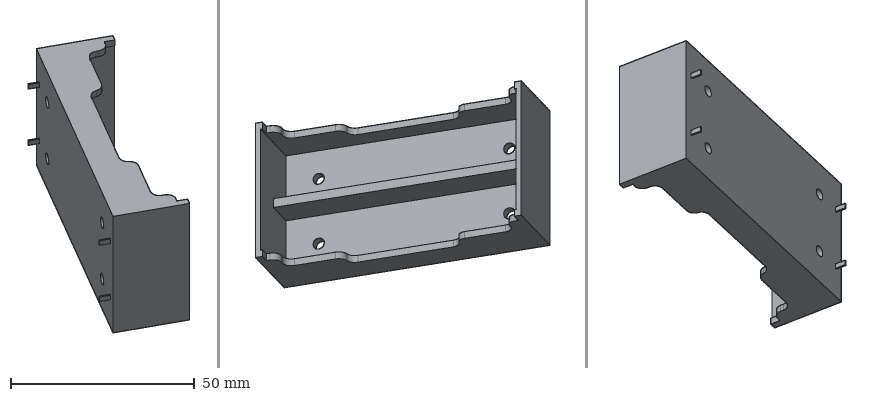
import cadquery as cq
import math

length = 77.7
height = 40.1
depth = 21.7

side_wall = 2.0
end_wall = 1.5
floor = 2.5
divider_drop = 9.7

corner_tab = 2.0
ledge_drop = 3.0
step_inset = 5.5
shelf_drop = 8.85
notch_drop = 13.05
notch_inset = 22.45
rim_radius = 2.5

hole_diameter = 3.2
hole_spacing_x = 55.7
cell_spacing = 19.35
pin_inset = 2.7
pin_thickness = 0.5
pin_width = 1.55
pin_length = 3.1

mouth = depth
ledge = mouth - ledge_drop
shelf = mouth - shelf_drop
notch = mouth - notch_drop
half_length = length / 2
divider = 2 * (cell_spacing - height / 2 + side_wall)
diagonal = rim_radius * math.sqrt(0.5)


def box(size_x, y_min, y_max, size_z, x=0.0, z=0.0):
    """Box centred on x and z that spans y_min to y_max."""
    block = cq.Workplane("XY").box(size_x, y_max - y_min, size_z)
    return block.translate((x, (y_min + y_max) / 2, z))


def make_rim_cut():
    """Solid removed above the stepped rim, built as one half and mirrored."""
    tab_x = half_length - corner_tab
    step_x = half_length - step_inset
    bend_x = half_length - notch_inset
    half_drop = (shelf - notch) / 2
    bend_angle = math.acos(1 - half_drop / rim_radius)
    bend_run = rim_radius * math.sin(bend_angle)
    mid_run = rim_radius * math.sin(bend_angle / 2)
    mid_drop = rim_radius * (1 - math.cos(bend_angle / 2))
    upper_start = bend_x + bend_run
    lower_end = bend_x - bend_run

    half = (
        cq.Workplane("XY")
        .moveTo(0, mouth)
        .lineTo(tab_x, mouth)
        .lineTo(tab_x, ledge)
        .lineTo(step_x + rim_radius, ledge)
        .threePointArc((step_x + rim_radius - diagonal, ledge - rim_radius + diagonal),
                       (step_x, ledge - rim_radius))
        .lineTo(step_x, shelf + rim_radius)
        .threePointArc((step_x - rim_radius + diagonal, shelf + rim_radius - diagonal),
                       (step_x - rim_radius, shelf))
        .lineTo(upper_start, shelf)
        .threePointArc((upper_start - mid_run, shelf - mid_drop), (bend_x, shelf - half_drop))
        .threePointArc((lower_end + mid_run, notch + mid_drop), (lower_end, notch))
        .lineTo(0, notch)
        .close()
        .extrude(height / 2, both=True)
    )
    return half.union(half.mirror("YZ"))


body = box(length, 0, depth, height).cut(make_rim_cut())
body = body.cut(box(length - 2 * end_wall, floor, depth, height - 2 * side_wall))

body = body.union(box(length - 2 * end_wall, floor, mouth - divider_drop, divider))

for x_side in (-1, 1):
    for z_side in (-1, 1):
        cell_z = z_side * cell_spacing / 2
        hole = (
            cq.Workplane("XZ")
            .center(x_side * hole_spacing_x / 2, cell_z)
            .circle(hole_diameter / 2)
            .extrude(-floor)
        )
        pin_x = x_side * (half_length - pin_inset)
        pin = box(pin_thickness, -pin_length, floor, pin_width, pin_x, cell_z)
        body = body.cut(hole).union(pin)

result = body